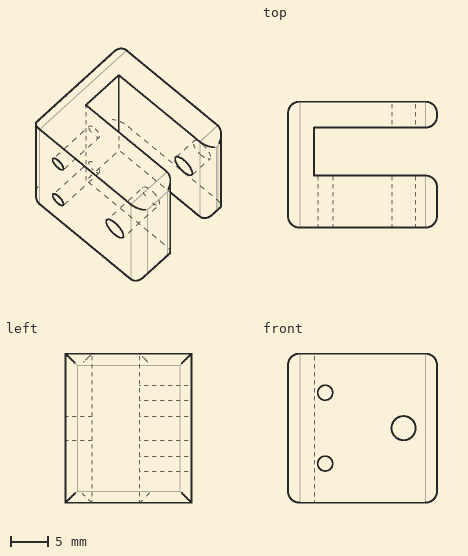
import cadquery as cq

length = 20.0
depth = 16.9
height = 20.0
edge_radius = 1.55

back_arm = 3.5
front_arm = 7.0
web = 3.5
slot_width = depth - back_arm - front_arm

small_diameter = 2.0
small_inset = 5.0
small_spacing = 9.5
large_diameter = 3.2
large_inset = 4.5


def clamp_body():
    """U-shaped block with the vertical edges at both ends rounded."""
    block = cq.Workplane("XY").box(length, depth, height, centered=(False, False, True))
    slot = (
        cq.Workplane("XY")
        .box(length - web, slot_width, height, centered=(False, False, True))
        .translate((web, front_arm, 0))
    )
    end_edges = block.cut(slot).faces("<X or >X").edges("|Z")
    return end_edges.fillet(edge_radius)


def side_outline():
    """Rounded rectangle along Y; meeting the body, it rounds the edges parallel to Y."""
    block = cq.Workplane("XY").box(length, depth, height, centered=(False, False, True))
    return block.edges("|Y").fillet(edge_radius)


def hole(x, z, diameter, hole_depth):
    """Cylinder entering the front face at the given position."""
    return cq.Workplane("XZ", origin=(x, 0, z)).circle(diameter / 2).extrude(-hole_depth)


result = clamp_body().intersect(side_outline())

result = result.cut(hole(length - large_inset, 0, large_diameter, depth))

for side in (-1, 1):
    result = result.cut(hole(small_inset, side * small_spacing / 2, small_diameter, front_arm))